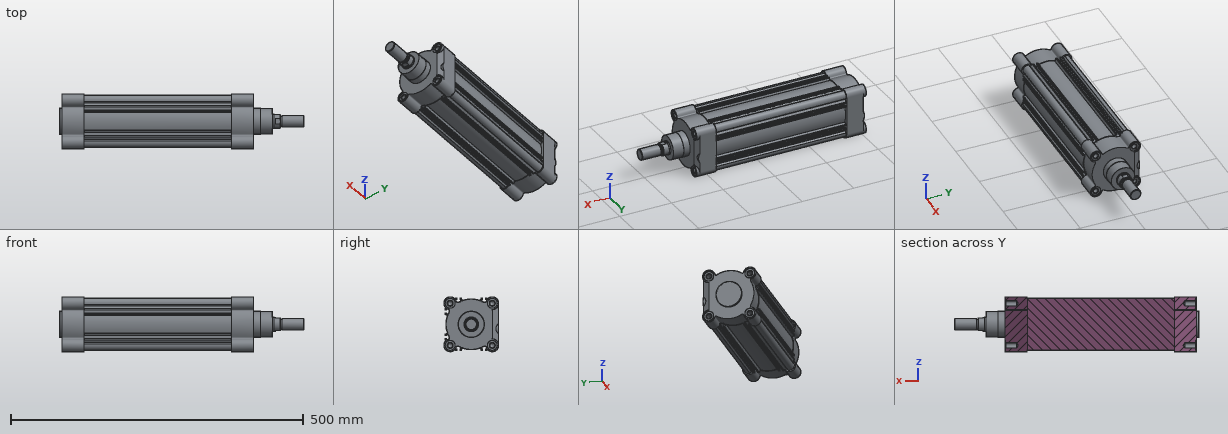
import cadquery as cq
import math

collar_length = 4.0
stroke = 200.0
barrel_with_caps = 128.0 + stroke
cap_length = 38.0
rod_overhang = 46.0
thread_length = 40.0

cap_start = collar_length
head_end = cap_start + barrel_with_caps
tube_start = cap_start + cap_length
tube_end = head_end - cap_length
shoulder_x = head_end + rod_overhang
rod_end = shoulder_x + thread_length

cap_width = 94.0
bolt_pitch = 72.0
half_pitch = bolt_pitch / 2
ear_radius = (cap_width - bolt_pitch) / 2
cap_radius = 43.5
valley_fillet = 2.0
collar_radius = 22.5
slope_length = 6.0
bolt_bore_radius = 8.5
bolt_bore_depth = 1.0
bolt_hole_radius = 4.25
bolt_chamfer = 0.9
bolt_hole_depth = 20.0
drill_tip_angle = 118.0
port_boss_radius = 15.5
port_boss_inset = 18.8
port_boss_drop = 7.6

pilot_length = 12.0
nose_length = 32.0
nose_radius = 22.0
lip_radius = 12.5
lip_length = 2.6
rod_start = head_end + nose_length + lip_length

tube_half_width = 44.6
tube_radius = 42.5
slot_centre = 22.0
slot_opening = 5.0
slot_width = 8.0
slot_lip_thickness = 2.0
slot_floor = 37.8
land_inner = 17.0
land_foot = 14.7
groove_near = 27.0
groove_bottom = 31.0
groove_far = 33.8
groove_depth = 3.0

rod_radius = 12.0
wrench_flats = 22.0
flats_start = 369.2
shoulder_chamfer = 1.2
thread_radius = 10.0
thread_chamfer = 1.0
relief_radius = 8.5
relief_length = 2.8

yz_signs = [(y, z) for y in (-1, 1) for z in (-1, 1)]


def cylinder_x(radius, start, end, y=0.0, z=0.0):
    """Cylinder along X between two stations."""
    return cq.Workplane("YZ", origin=(start, y, z)).circle(radius).extrude(end - start)


def valley_points():
    """Corners where the ears meet the round body, outside the flat port side."""
    reach = math.hypot(half_pitch, half_pitch)
    swing = math.acos((cap_radius**2 + reach**2 - ear_radius**2) / (2 * cap_radius * reach))
    near = cap_radius * math.sin(math.pi / 4 - swing)
    far = cap_radius * math.cos(math.pi / 4 - swing)
    points = [(y * near, z * far) for y, z in yz_signs]
    points += [(-far, z * near) for z in (-1, 1)]
    return points


def bolt_hole(y, z):
    """Counterbored, countersunk blind hole with a drilled tip, opening on the plane X = 0."""
    tip = bolt_hole_radius / math.tan(math.radians(drill_tip_angle / 2))
    return (
        cq.Workplane("XY")
        .moveTo(0, 0)
        .lineTo(0, bolt_bore_radius)
        .lineTo(bolt_bore_depth, bolt_bore_radius)
        .lineTo(bolt_bore_depth, bolt_hole_radius + bolt_chamfer)
        .lineTo(bolt_bore_depth + bolt_chamfer, bolt_hole_radius)
        .lineTo(bolt_hole_depth, bolt_hole_radius)
        .lineTo(bolt_hole_depth + tip, 0)
        .close()
        .revolve(360, (0, 0, 0), (1, 0, 0))
        .translate((0, y, z))
    )


def make_cap():
    """End cap with its outer face on X = 0 and its port boss on the +Y side."""
    cap = cylinder_x(cap_radius, 0, cap_length)
    port_side = (
        cq.Workplane("XY")
        .moveTo(0, half_pitch)
        .lineTo(slope_length, cap_width / 2)
        .lineTo(cap_length, cap_width / 2)
        .lineTo(cap_length, half_pitch)
        .close()
        .extrude(half_pitch, both=True)
    )
    trim = (
        cq.Workplane("XY")
        .moveTo(0, half_pitch)
        .lineTo(slope_length, cap_width / 2)
        .lineTo(0, cap_width / 2)
        .close()
        .extrude(half_pitch, both=True)
    )
    cap = cap.union(port_side).cut(trim)
    for y, z in yz_signs:
        cap = cap.union(cylinder_x(ear_radius, 0, cap_length, y * half_pitch, z * half_pitch))
    for y, z in valley_points():
        valley = cq.selectors.NearestToPointSelector((cap_length / 2, y, z))
        cap = cap.edges("|X").edges(valley).fillet(valley_fillet)
    for y, z in yz_signs:
        cap = cap.cut(bolt_hole(y * half_pitch, z * half_pitch))
    port_boss = (
        cq.Workplane("XZ", origin=(port_boss_inset, cap_width / 2, -port_boss_drop))
        .circle(port_boss_radius)
        .extrude(cap_width / 2 - half_pitch)
    )
    return cap.union(port_boss)


def make_rear_cap():
    """Rear cap with its centring collar."""
    cap = make_cap().translate((cap_start, 0, 0))
    return cap.union(cylinder_x(collar_radius, 0, cap_start))


def make_head():
    """Front cap with the pilot, nose and sealing lip around the rod."""
    cap = make_cap().mirror("YZ").translate((head_end, 0, 0))
    pilot_end = head_end + pilot_length
    pilot = cylinder_x(collar_radius, head_end, pilot_end)
    nose = cylinder_x(nose_radius, pilot_end, head_end + nose_length)
    lip = cylinder_x(lip_radius, head_end + nose_length, rod_start)
    return cap.union(pilot).union(nose).union(lip)


def tube_plane():
    """Section plane at the rear end of the tube."""
    return cq.Workplane("YZ", origin=(tube_start, 0, 0))


def face_cutters():
    """Cutters for the face of the tube on +Z: waisted middle, T-slots and V-grooves."""
    top = tube_half_width
    length = tube_end - tube_start
    foot = math.sqrt(tube_radius**2 - land_foot**2)
    waist = (
        tube_plane()
        .moveTo(-land_inner, top)
        .lineTo(-land_foot, foot)
        .threePointArc((0, tube_radius), (land_foot, foot))
        .lineTo(land_inner, top)
        .close()
        .extrude(length)
    )
    cutters = [waist]
    slot_height = top - slot_lip_thickness - slot_floor
    neck_height = top - slot_floor
    for side in (-1, 1):
        slot_y = side * slot_centre
        slot = tube_plane().center(slot_y, slot_floor + slot_height / 2).rect(slot_width, slot_height)
        neck = tube_plane().center(slot_y, slot_floor + neck_height / 2).rect(slot_opening, neck_height)
        groove = (
            tube_plane()
            .moveTo(side * groove_near, top)
            .lineTo(side * groove_bottom, top - groove_depth)
            .lineTo(side * groove_far, top)
            .close()
        )
        cutters += [outline.extrude(length) for outline in (slot, neck, groove)]
    return cutters


def make_tube():
    """Solid profile between the caps, the same on all four faces."""
    tube = (
        tube_plane()
        .rect(2 * tube_half_width, 2 * tube_half_width)
        .extrude(tube_end - tube_start)
        .edges("|X")
        .fillet(tube_half_width - half_pitch)
    )
    for turn in (0, 90, 180, 270):
        for cutter in face_cutters():
            tube = tube.cut(cutter.rotate((0, 0, 0), (1, 0, 0), turn))
    return tube


def make_rod():
    """Rod with wrench flats, a thread relief and the threaded end."""
    rod = cylinder_x(rod_radius, rod_start, shoulder_x).faces(">X").chamfer(shoulder_chamfer)
    flat_length = shoulder_x - flats_start
    for side in (-1, 1):
        flat = cq.Workplane("XY").box(
            flat_length, 2 * rod_radius, rod_radius, centered=(False, True, True)
        )
        rod = rod.cut(flat.translate((flats_start, 0, side * (wrench_flats + rod_radius) / 2)))
    relief_end = shoulder_x + relief_length
    rod = rod.union(cylinder_x(relief_radius, shoulder_x, relief_end))
    thread = cylinder_x(thread_radius, relief_end, rod_end).faces(">X").chamfer(thread_chamfer)
    return rod.union(thread)


rear_cap = make_rear_cap()
tube = make_tube()
head = make_head()
rod = make_rod()

result = cq.Compound.makeCompound([rear_cap.val(), tube.val(), head.val(), rod.val()])